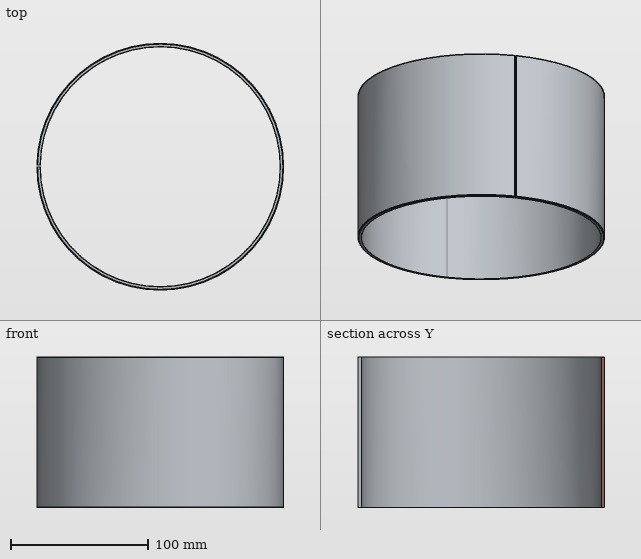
import cadquery as cq

outer_diameter = 180.0
wall = 2.5
height = 110.0
slit_width = 1.3
edge_chamfer = 0.5

outer_radius = outer_diameter / 2

drum = (
    cq.Workplane("XY")
    .circle(outer_radius)
    .extrude(height)
    .faces("<Z or >Z")
    .edges()
    .chamfer(edge_chamfer)
)
bore = cq.Workplane("XY").circle(outer_radius - wall).extrude(height)
sleeve = drum.cut(bore)

slit = (
    cq.Workplane("XY")
    .box(outer_radius, slit_width, height, centered=False)
    .translate((-outer_radius, 0, 0))
)

result = sleeve.cut(slit)